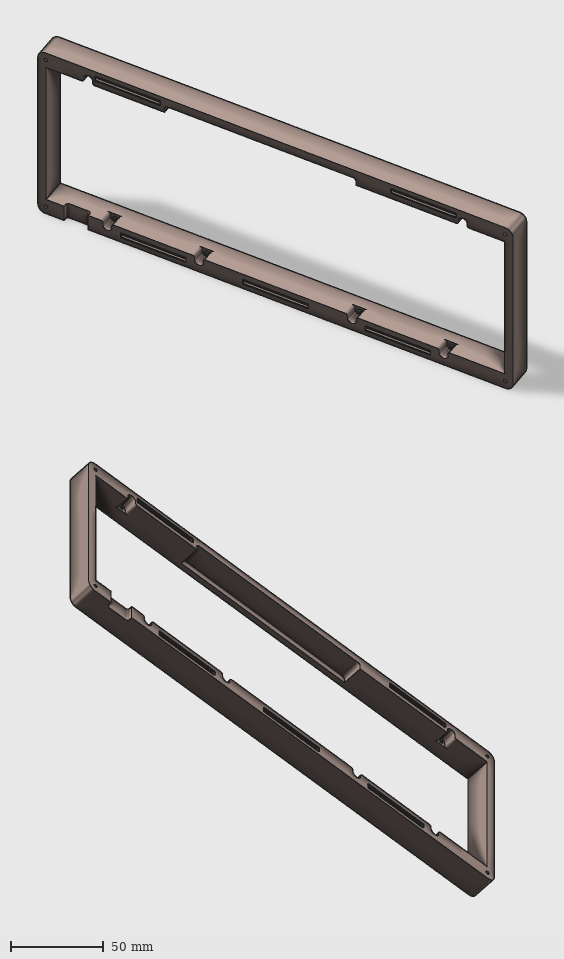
import cadquery as cq
import math

key_pitch = 19.05
side_wall = 5.25
rail_wall = 10.25
opening_width = 15 * key_pitch
opening_height = 5 * key_pitch
frame_width = opening_width + 2 * side_wall
frame_height = opening_height + 2 * rail_wall
frame_depth = 15.5
corner_radius = 5.0
back_radius = 1.0

screw_hole_diameter = 2.08
screw_hole_inset = 5.0
screw_hole_depth = 10.0

pocket_width = 5.5
pocket_center_inset = 2.75
pocket_depth = 8.25
pocket_mouth_radius = 1.5
pocket_hole_depth = 3.0
bottom_pocket_x = [-5.5 * key_pitch, -2.5 * key_pitch, 2.5 * key_pitch, 5.5 * key_pitch]
top_pocket_x = [-6.125 * key_pitch, 6.125 * key_pitch]

pad_length = 40.2
pad_height = 2.8
pad_corner_radius = 0.5
pad_depth = 2.0
pad_chamfer = 0.4
chamfer_angle = 45.0
pad_edge_inset = 4.85
bottom_pad_x = [-4 * key_pitch, 0, 4 * key_pitch]
top_pad_offset = 92.2
top_pad_x = [-top_pad_offset, top_pad_offset]

relief_center_x = -key_pitch / 2
relief_width = 119.2
relief_height = 4.6
relief_depth = 12.5
relief_radius = 1.75

channel_left = -131.7
channel_right = -116.7
channel_depth = 3.2
channel_radius = 1.7

half_width = frame_width / 2
half_height = frame_height / 2
half_opening = opening_height / 2


def front_plane(depth=0.0):
    """Sketch plane at the given depth behind the front face; extrusions run toward +Y."""
    return cq.Workplane(cq.Plane(origin=(0, depth, 0), xDir=(1, 0, 0), normal=(0, 1, 0)))


def point(x, z):
    """Sketch coordinates of a part position: the sketch's second axis runs along -Z."""
    return (x, -z)


def make_frame():
    body = front_plane().rect(frame_width, frame_height).extrude(frame_depth)
    body = body.edges("|Y").fillet(corner_radius)
    body = body.faces(">Y").edges().fillet(back_radius)
    window = front_plane().rect(opening_width, opening_height).extrude(frame_depth)
    return body.cut(window)


def corner_holes():
    x = half_width - screw_hole_inset
    z = half_height - screw_hole_inset
    spots = [point(sx * x, sz * z) for sx in (-1, 1) for sz in (-1, 1)]
    return front_plane().pushPoints(spots).circle(screw_hole_diameter / 2).extrude(screw_hole_depth)


def screw_pocket(x, side):
    """U-shaped pocket with rounded mouth and screw hole; side is +1 on the top rail, -1 on the bottom."""
    radius = pocket_width / 2
    mouth = pocket_mouth_radius
    edge = half_opening
    center = edge + pocket_center_inset
    bend = mouth * (1 - math.cos(math.pi / 4))

    def at(dx, z):
        return point(x + dx, side * z)

    pocket = (
        front_plane()
        .moveTo(*at(-radius - mouth, edge))
        .threePointArc(at(-radius - bend, edge + bend), at(-radius, edge + mouth))
        .lineTo(*at(-radius, center))
        .threePointArc(at(0, center + radius), at(radius, center))
        .lineTo(*at(radius, edge + mouth))
        .threePointArc(at(radius + bend, edge + bend), at(radius + mouth, edge))
        .close()
        .extrude(pocket_depth)
    )
    hole = (
        front_plane(pocket_depth)
        .pushPoints([at(0, center)])
        .circle(screw_hole_diameter / 2)
        .extrude(pocket_hole_depth)
    )
    return pocket.union(hole)


def pad_recess(x, side):
    """Round-cornered recess with a 45 degree chamfer around its mouth."""
    center = point(x, side * (half_height - pad_edge_inset))
    floor = cq.Sketch().rect(pad_length, pad_height).vertices().fillet(pad_corner_radius)
    mouth = (
        cq.Sketch()
        .rect(pad_length + 2 * pad_chamfer, pad_height + 2 * pad_chamfer)
        .vertices()
        .fillet(pad_corner_radius + pad_chamfer)
    )
    recess = front_plane().center(*center).placeSketch(floor).extrude(pad_depth)
    flare = front_plane().center(*center).placeSketch(mouth).extrude(pad_chamfer, taper=chamfer_angle)
    return recess.union(flare)


def top_relief():
    center = point(relief_center_x, half_opening + relief_height / 2)
    relief = front_plane().center(*center).rect(relief_width, relief_height).extrude(relief_depth)
    return relief.edges("|Y and >Z").fillet(relief_radius)


def cable_channel():
    width = channel_right - channel_left
    center = point((channel_left + channel_right) / 2, -half_height + rail_wall / 2)
    channel = front_plane().center(*center).rect(width, rail_wall).extrude(channel_depth)
    return channel.edges("|Z and >Y").fillet(channel_radius)


rails = [
    (1, top_pocket_x, top_pad_x),
    (-1, bottom_pocket_x, bottom_pad_x),
]
result = make_frame().cut(corner_holes()).cut(top_relief()).cut(cable_channel())
for side, pocket_positions, pad_positions in rails:
    for x in pocket_positions:
        result = result.cut(screw_pocket(x, side))
    for x in pad_positions:
        result = result.cut(pad_recess(x, side))